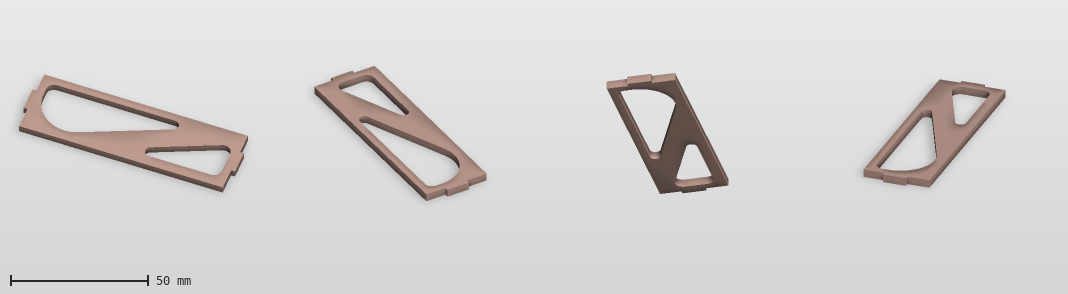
import cadquery as cq
import math

plate_length = 79.0
plate_width = 25.5
thickness = 3.0

tab_reach = 1.5
tab_width = 9.0
tab_to_top_edge = 8.0

frame_sides = 3.0
frame_top = 3.0
frame_bottom = 4.0
brace_width = 8.0

corner_radius = 3.0
tip_radius = 2.0
sweep_radius = 13.0

large_tip_x = 52.0

window_left = frame_sides
window_right = plate_length - frame_sides
window_bottom = frame_bottom
window_top = plate_width - frame_top


def tangent_angle(start, end):
    """Direction of the line touching two (x, y, radius) circles on their right-hand side."""
    dx = end[0] - start[0]
    dy = end[1] - start[1]
    return math.atan2(dy, dx) + math.asin((start[2] - end[2]) / math.hypot(dx, dy))


def point_on(circle, angle):
    x, y, radius = circle
    return (x + radius * math.cos(angle), y + radius * math.sin(angle))


def window(corners):
    """Cutter wrapped around (x, y, radius) corner circles, listed counterclockwise."""
    count = len(corners)
    normals = []
    for i in range(count):
        side_angle = tangent_angle(corners[i], corners[(i + 1) % count])
        normals.append(side_angle - math.pi / 2)

    outline = cq.Workplane("XY").moveTo(*point_on(corners[0], normals[-1]))
    for i, corner in enumerate(corners):
        arriving = normals[i - 1]
        turn = (normals[i] - arriving) % (2 * math.pi)
        arc_middle = point_on(corner, arriving + turn / 2)
        arc_end = point_on(corner, arriving + turn)
        outline = outline.threePointArc(arc_middle, arc_end)
        if i < count - 1:
            outline = outline.lineTo(*point_on(corners[i + 1], normals[i]))
    return outline.close().extrude(thickness)


def plate_with_tabs():
    plate = cq.Workplane("XY").box(plate_length, plate_width, thickness, centered=False)
    tab_bottom = plate_width - tab_to_top_edge - tab_width
    tabs = (
        cq.Workplane("XY")
        .box(plate_length + 2 * tab_reach, tab_width, thickness, centered=False)
        .translate((-tab_reach, tab_bottom, 0))
    )
    return plate.union(tabs)


sweep = (window_left + sweep_radius, window_bottom + sweep_radius, sweep_radius)
large_tip = (large_tip_x, window_top - tip_radius, tip_radius)
large_corner = (window_left + corner_radius, window_top - corner_radius, corner_radius)

brace_angle = tangent_angle(sweep, large_tip)
sin_brace = math.sin(brace_angle)
cos_brace = math.cos(brace_angle)
brace_upper_offset = sweep[1] * cos_brace - sweep[0] * sin_brace - sweep_radius
brace_lower_offset = brace_upper_offset - brace_width

small_tip_y = window_bottom + tip_radius
small_tip_x = (small_tip_y * cos_brace + tip_radius - brace_lower_offset) / sin_brace
small_right_x = window_right - corner_radius
small_top_y = (brace_lower_offset - corner_radius + small_right_x * sin_brace) / cos_brace

small_tip = (small_tip_x, small_tip_y, tip_radius)
small_lower = (small_right_x, window_bottom + corner_radius, corner_radius)
small_upper = (small_right_x, small_top_y, corner_radius)

result = (
    plate_with_tabs()
    .cut(window([sweep, large_tip, large_corner]))
    .cut(window([small_tip, small_lower, small_upper]))
    .translate((-plate_length / 2, -plate_width / 2, 0))
)